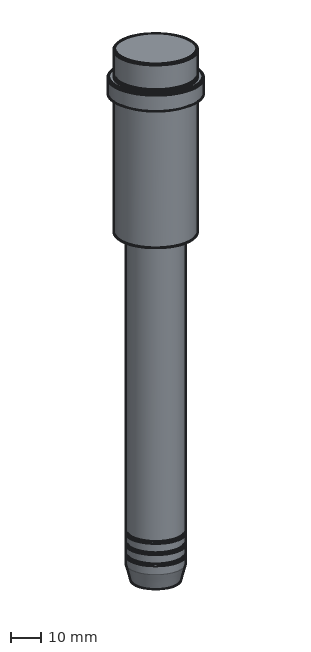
import cadquery as cq
import math

TOTAL_LENGTH = 190.0

HEAD_RADIUS = 14.0
HEAD_LENGTH = 66.0
COLLAR_RADIUS = 16.0
COLLAR_HEIGHT = 6.0
COLLAR_TOP_DEPTH = 10.0
EDGE_CHAMFER = 0.5

RELIEF_WIDTH = 1.0
UPPER_RELIEF_DEPTH = 0.5
LOWER_RELIEF_DEPTH = 0.25

SHANK_RADIUS = 10.0
NECK_RADIUS = 9.5
NECK_LENGTH = 1.0

GROOVE_COUNT = 3
GROOVE_PITCH = 4.0
GROOVE_WIDTH = 1.0
GROOVE_DEPTH = 0.6
LOWEST_GROOVE_Z = 9.5

TIP_LENGTH = 6.0
TIP_TAPER_ANGLE = 15.0
TIP_FILLET = 0.5

HEAD_BOTTOM_Z = TOTAL_LENGTH - HEAD_LENGTH
NECK_BOTTOM_Z = HEAD_BOTTOM_Z - NECK_LENGTH
COLLAR_TOP_Z = TOTAL_LENGTH - COLLAR_TOP_DEPTH
COLLAR_BOTTOM_Z = COLLAR_TOP_Z - COLLAR_HEIGHT
TIP_RADIUS = SHANK_RADIUS - TIP_LENGTH * math.tan(math.radians(TIP_TAPER_ANGLE))


def v_groove(radius, center_z, width, depth):
    """Profile points, bottom to top, of a V groove in a cylinder of this radius."""
    return [
        (radius, center_z - width / 2),
        (radius - depth, center_z),
        (radius, center_z + width / 2),
    ]


def shank_profile():
    """Points up the tip, the grooved shank and the neck."""
    points = [(TIP_RADIUS, 0), (SHANK_RADIUS, TIP_LENGTH)]
    for index in range(GROOVE_COUNT):
        groove_z = LOWEST_GROOVE_Z + index * GROOVE_PITCH
        points += v_groove(SHANK_RADIUS, groove_z, GROOVE_WIDTH, GROOVE_DEPTH)
    points += [
        (SHANK_RADIUS, NECK_BOTTOM_Z),
        (NECK_RADIUS, NECK_BOTTOM_Z),
        (NECK_RADIUS, HEAD_BOTTOM_Z),
    ]
    return points


def head_profile():
    """Points up the head, past the collar and its two relief grooves."""
    lower_relief_z = COLLAR_BOTTOM_Z - RELIEF_WIDTH / 2
    upper_relief_z = COLLAR_TOP_Z + RELIEF_WIDTH / 2
    return [
        (HEAD_RADIUS - EDGE_CHAMFER, HEAD_BOTTOM_Z),
        (HEAD_RADIUS, HEAD_BOTTOM_Z + EDGE_CHAMFER),
        *v_groove(HEAD_RADIUS, lower_relief_z, RELIEF_WIDTH, LOWER_RELIEF_DEPTH),
        (COLLAR_RADIUS, COLLAR_BOTTOM_Z),
        (COLLAR_RADIUS, COLLAR_TOP_Z - EDGE_CHAMFER),
        (COLLAR_RADIUS - EDGE_CHAMFER, COLLAR_TOP_Z),
        *v_groove(HEAD_RADIUS, upper_relief_z, RELIEF_WIDTH, UPPER_RELIEF_DEPTH),
        (HEAD_RADIUS, TOTAL_LENGTH - EDGE_CHAMFER),
        (HEAD_RADIUS - EDGE_CHAMFER, TOTAL_LENGTH),
    ]


def make_pillar():
    """Revolve the half profile about Z and round the end of the tip."""
    profile = [(0, 0), *shank_profile(), *head_profile(), (0, TOTAL_LENGTH)]
    body = cq.Workplane("XZ").polyline(profile).close().revolve(360, (0, 0, 0), (0, 1, 0))
    return body.faces("<Z").edges().fillet(TIP_FILLET)


result = make_pillar()